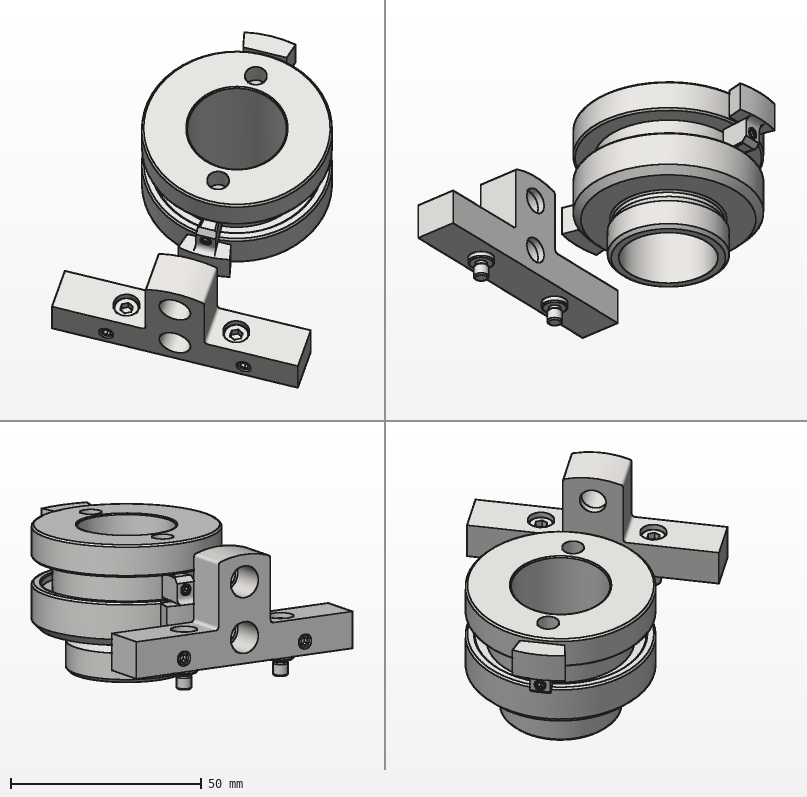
import cadquery as cq
import math

FLANGE_DIA = 50.0
STEM_DIA = 39.0
NECK_DIA = 29.7
SPIGOT_DIA = 32.0
BORE_DIA = 26.0
SPIGOT_CHAMFER = 1.0
SPIGOT_SHOULDER_Z = 8.0
NECK_Z = 9.95
NECK_FLARE = 0.5
LOWER_FLANGE_Z = 11.7
LOWER_FLANGE_CHAMFER = 2.0
GROOVE_BOTTOM_Z = 23.6
GROOVE_TOP_Z = 30.5
HUB_HEIGHT = 39.2
EDGE_CHAMFER = 0.5
BORE_CHAMFER = 0.35
RECESS_DIA = 45.0
RECESS_DEPTH = 1.95
RECESS_CHAMFER = 0.35
SPANNER_HOLE_DIA = 5.8
SPANNER_HOLE_RADIUS = 17.5
SPANNER_HOLE_DEPTH = 6.0
DRILL_POINT_ANGLE = 118.0

JAW_INNER_RADIUS = 20.35
JAW_FRONT_RADIUS = 28.9
JAW_HALF_ANGLE = 5.4
JAW_BEVEL_WIDTH = 0.5
JAW_BEVEL_HEIGHT = 0.2
JAW_NOSE = 1.5
PLATE_INNER_RADIUS = 25.9
PLATE_OUTER_RADIUS = 31.4
PLATE_HALF_ANGLE = 13.0
PLATE_HEIGHT = 8.0

BAR_LENGTH = 67.4
BAR_HEIGHT = 9.95
BAR_THICKNESS = 12.0
TOTAL_DEPTH = 88.9
BAR_BOTTOM_Z = 12.6
HOLDER_TOP_Z = 42.0
POST_WIDTH = 16.2
POST_FILLET = 1.0
PIN_HOLE_DIA = 8.5
PIN_HOLE_BACK_DIA = 7.0
PIN_HOLE_DEPTH = 9.95
PIN_HOLE_HEIGHTS = (19.6, 34.65)

SCREW_SPACING = 30.0
SCREW_HEAD_DIA = 6.9
SCREW_HEAD_SINK = 1.3
SCREW_HEAD_DROP = 1.6
SCREW_HEAD_CHAMFER = 0.35
SCREW_NECK_DIA = 3.2
SCREW_NECK_LENGTH = 0.8
SCREW_TIP_DIA = 4.0
SCREW_DROP = 6.0
SCREW_HEX = 3.0
SCREW_HEX_DEPTH = 1.95

BAR_SOCKET_SPACING = 37.7
BAR_SOCKET_RISE = 3.6
BAR_SOCKET_DIAS = (4.0, 3.2)
BAR_SOCKET_HEX = 1.95
JAW_SOCKET_DIAS = (3.0, 2.5)
JAW_SOCKET_HEX = 1.5
SOCKET_DEPTH = 1.5

groove_middle_z = (GROOVE_BOTTOM_Z + GROOVE_TOP_Z) / 2
bar_front_y = PLATE_OUTER_RADIUS - TOTAL_DEPTH
bar_middle_y = bar_front_y + BAR_THICKNESS / 2
bar_top_z = BAR_BOTTOM_Z + BAR_HEIGHT


def cone_frustum(bottom_dia, top_dia, height, bottom_z):
    """Truncated or pointed cone on the Z axis."""
    return cq.Workplane(cq.Solid.makeCone(bottom_dia / 2, top_dia / 2, height, cq.Vector(0, 0, bottom_z)))


def disc(diameter, bottom_z, top_z):
    """Cylinder on the Z axis."""
    return cq.Workplane("XY", origin=(0, 0, bottom_z)).circle(diameter / 2).extrude(top_z - bottom_z)


def make_hub():
    flange, stem, neck, spigot, bore, recess = (
        dia / 2 for dia in (FLANGE_DIA, STEM_DIA, NECK_DIA, SPIGOT_DIA, BORE_DIA, RECESS_DIA)
    )
    recess_z = GROOVE_BOTTOM_Z - RECESS_DEPTH
    outline = [
        (bore, 0),
        (spigot - SPIGOT_CHAMFER, 0),
        (spigot, SPIGOT_CHAMFER),
        (spigot, SPIGOT_SHOULDER_Z),
        (neck, NECK_Z),
        (neck, LOWER_FLANGE_Z - NECK_FLARE),
        (neck + NECK_FLARE, LOWER_FLANGE_Z),
        (flange - LOWER_FLANGE_CHAMFER, LOWER_FLANGE_Z),
        (flange, LOWER_FLANGE_Z + LOWER_FLANGE_CHAMFER),
        (flange, GROOVE_BOTTOM_Z - EDGE_CHAMFER),
        (flange - EDGE_CHAMFER, GROOVE_BOTTOM_Z),
        (recess + RECESS_CHAMFER, GROOVE_BOTTOM_Z),
        (recess, GROOVE_BOTTOM_Z - RECESS_CHAMFER),
        (recess, recess_z),
        (stem, recess_z),
        (stem, GROOVE_TOP_Z),
        (flange - EDGE_CHAMFER, GROOVE_TOP_Z),
        (flange, GROOVE_TOP_Z + EDGE_CHAMFER),
        (flange, HUB_HEIGHT - EDGE_CHAMFER),
        (flange - EDGE_CHAMFER, HUB_HEIGHT),
        (bore + BORE_CHAMFER, HUB_HEIGHT),
        (bore, HUB_HEIGHT - BORE_CHAMFER),
    ]
    hub = cq.Workplane("XZ").polyline(outline).close().revolve(360, (0, 0), (0, 1))

    point_depth = SPANNER_HOLE_DIA / 2 / math.tan(math.radians(DRILL_POINT_ANGLE / 2))
    hole_floor_z = HUB_HEIGHT - SPANNER_HOLE_DEPTH
    hole = disc(SPANNER_HOLE_DIA, hole_floor_z, HUB_HEIGHT).union(
        cone_frustum(0, SPANNER_HOLE_DIA, point_depth, hole_floor_z - point_depth)
    )
    for side in (-1, 1):
        hub = hub.cut(hole.translate((0, side * SPANNER_HOLE_RADIUS, 0)))
    return hub


def make_hex_socket(dias, hex_width, x, y, z):
    """Countersunk hexagon socket, cut in the +Y direction into a face at the given y."""
    outer_dia, inner_dia = dias
    cone_depth = (outer_dia - inner_dia) / 2
    countersink = cone_frustum(inner_dia, outer_dia, cone_depth, -cone_depth)
    hexagon = (
        cq.Workplane("XY")
        .polygon(6, hex_width / math.cos(math.pi / 6))
        .extrude(-SOCKET_DEPTH - cone_depth)
        .rotate((0, 0, 0), (0, 0, 1), 30)
    )
    return countersink.union(hexagon).rotate((0, 0, 0), (1, 0, 0), 90).translate((x, y, z))


def radial_wedge(half_angle, inner_radius, outer_y, bottom_z, height):
    """Block toward -Y with radial flanks and flat ends."""
    slope = math.tan(math.radians(half_angle))
    return (
        cq.Workplane("XY", origin=(0, 0, bottom_z))
        .polyline([
            (-inner_radius * slope, -inner_radius),
            (inner_radius * slope, -inner_radius),
            (outer_y * slope, -outer_y),
            (-outer_y * slope, -outer_y),
        ])
        .close()
        .extrude(height)
    )


def make_front_jaw():
    """Jaw on the -Y side: a neck in the groove and a plate hanging beside the lower flange."""
    neck_height = GROOVE_TOP_Z - GROOVE_BOTTOM_Z
    foot_radius = JAW_FRONT_RADIUS + JAW_NOSE
    fillet_centre_z = GROOVE_BOTTOM_Z + JAW_NOSE
    fillet_mid = JAW_NOSE * (1 - math.sqrt(0.5))

    side_outline = (
        cq.Workplane("YZ")
        .moveTo(-JAW_INNER_RADIUS, GROOVE_BOTTOM_Z)
        .lineTo(-JAW_INNER_RADIUS, GROOVE_TOP_Z)
        .lineTo(-JAW_FRONT_RADIUS + JAW_NOSE, GROOVE_TOP_Z)
        .lineTo(-JAW_FRONT_RADIUS, GROOVE_TOP_Z - JAW_NOSE)
        .lineTo(-JAW_FRONT_RADIUS, fillet_centre_z)
        .threePointArc(
            (-JAW_FRONT_RADIUS - fillet_mid, GROOVE_BOTTOM_Z + fillet_mid),
            (-foot_radius, GROOVE_BOTTOM_Z),
        )
        .close()
        .extrude(PLATE_INNER_RADIUS, both=True)
    )
    neck = (
        radial_wedge(JAW_HALF_ANGLE, JAW_INNER_RADIUS, foot_radius, GROOVE_BOTTOM_Z, neck_height)
        .faces(">Z")
        .edges("not |X")
        .chamfer(JAW_BEVEL_HEIGHT, JAW_BEVEL_WIDTH)
        .intersect(side_outline)
    )

    plate_bottom_z = GROOVE_BOTTOM_Z - PLATE_HEIGHT
    plate = radial_wedge(
        PLATE_HALF_ANGLE, PLATE_INNER_RADIUS, PLATE_OUTER_RADIUS, plate_bottom_z, PLATE_HEIGHT
    ).intersect(disc(2 * PLATE_OUTER_RADIUS, plate_bottom_z, GROOVE_BOTTOM_Z))

    socket = make_hex_socket(JAW_SOCKET_DIAS, JAW_SOCKET_HEX, 0, -JAW_FRONT_RADIUS, groove_middle_z)
    return neck.union(plate).cut(socket)


def make_jaws():
    """The rear jaw is the front jaw turned half a turn about the X direction."""
    front_jaw = make_front_jaw()
    pivot = (0, 0, groove_middle_z)
    pivot_end = (1, 0, groove_middle_z)
    return [front_jaw.rotate(pivot, pivot_end, turn) for turn in (0, 180)]


def make_screw():
    """Cap screw on the Z axis, with a hexagon socket, a neck and a threaded tip."""
    head_top_z = bar_top_z - SCREW_HEAD_SINK
    head_bottom_z = BAR_BOTTOM_Z - SCREW_HEAD_DROP
    tip_top_z = head_bottom_z - SCREW_NECK_LENGTH
    tip_bottom_z = BAR_BOTTOM_Z - SCREW_DROP
    tip_chamfer = (SCREW_TIP_DIA - SCREW_NECK_DIA) / 2
    head = disc(SCREW_HEAD_DIA, head_bottom_z, head_top_z).faces("|Z").edges().chamfer(SCREW_HEAD_CHAMFER)
    neck = disc(SCREW_NECK_DIA, tip_top_z, head_bottom_z)
    tip = disc(SCREW_TIP_DIA, tip_bottom_z, tip_top_z).faces("|Z").edges().chamfer(tip_chamfer)
    socket = (
        cq.Workplane("XY")
        .polygon(6, SCREW_HEX / math.cos(math.pi / 6))
        .extrude(-SCREW_HEX_DEPTH)
        .rotate((0, 0, 0), (0, 0, 1), 30)
        .translate((0, 0, head_top_z))
    )
    return head.union(neck).union(tip).cut(socket)


def make_holder_blank():
    """T-shaped block; the post has the flange's curvature on top."""
    bar = cq.Workplane("XY").box(BAR_LENGTH, BAR_THICKNESS, BAR_HEIGHT, centered=(True, True, False))
    post_height = HOLDER_TOP_Z - BAR_BOTTOM_Z
    post = cq.Workplane("XY").box(POST_WIDTH, BAR_THICKNESS, post_height, centered=(True, True, False))
    crown = (
        cq.Workplane("XZ", origin=(0, BAR_THICKNESS / 2, post_height - FLANGE_DIA / 2))
        .circle(FLANGE_DIA / 2)
        .extrude(BAR_THICKNESS)
    )
    upper_post = post.intersect(crown)
    blank = bar.union(upper_post)
    reach = POST_WIDTH / 2 + POST_FILLET
    post_corners = cq.selectors.BoxSelector(
        (-reach, -BAR_THICKNESS, BAR_HEIGHT - POST_FILLET), (reach, BAR_THICKNESS, post_height)
    )
    blank = blank.edges("|Y").edges(post_corners).fillet(POST_FILLET)
    return blank.translate((0, bar_middle_y, BAR_BOTTOM_Z))


def make_holder():
    holder = make_holder_blank()

    bar_back_y = bar_front_y + BAR_THICKNESS
    for z in PIN_HOLE_HEIGHTS:
        back_hole = cq.Workplane("XZ", origin=(0, bar_back_y, z)).circle(PIN_HOLE_BACK_DIA / 2)
        front_hole = cq.Workplane("XZ", origin=(0, bar_front_y, z)).circle(PIN_HOLE_DIA / 2)
        holder = holder.cut(back_hole.extrude(BAR_THICKNESS)).cut(front_hole.extrude(-PIN_HOLE_DEPTH))

    screw = make_screw()
    screw_hole = disc(SCREW_HEAD_DIA, BAR_BOTTOM_Z, bar_top_z)
    for side in (-1, 1):
        screw_place = (side * SCREW_SPACING / 2, bar_middle_y, 0)
        holder = holder.cut(screw_hole.translate(screw_place)).union(screw.translate(screw_place))
        socket = make_hex_socket(
            BAR_SOCKET_DIAS,
            BAR_SOCKET_HEX,
            side * BAR_SOCKET_SPACING / 2,
            bar_front_y,
            BAR_BOTTOM_Z + BAR_SOCKET_RISE,
        )
        holder = holder.cut(socket)
    return holder


hub = make_hub()
jaws = make_jaws()
holder = make_holder()

result = cq.Compound.makeCompound(
    [hub.solids().val(), *[jaw.solids().val() for jaw in jaws], holder.solids().val()]
)